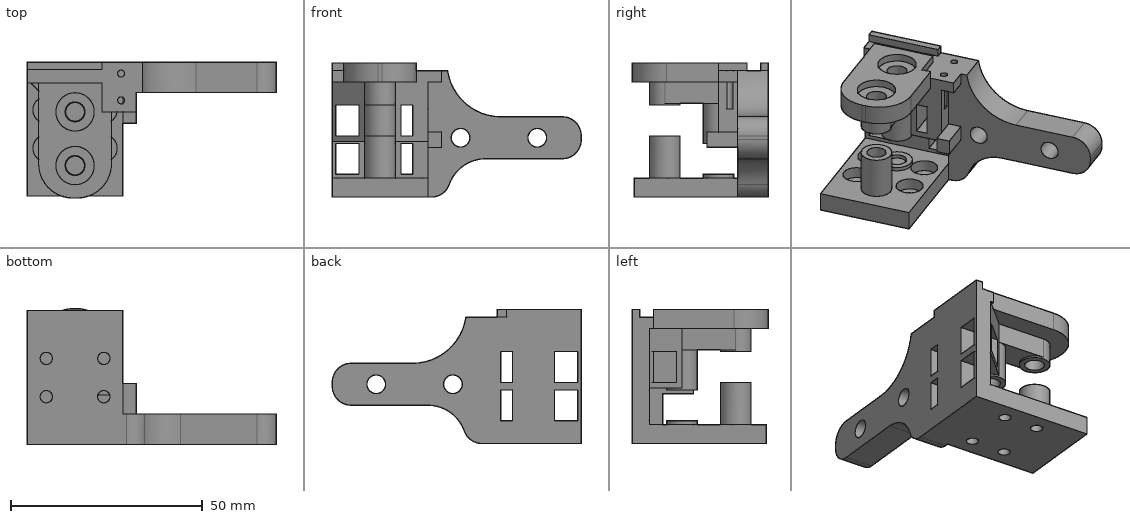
import cadquery as cq
import math


body_length = 25.0
base_depth = 35.0
base_height = 5.0

wall_depth = 4.5

block_bottom = 14.5
deck_bottom = 30.0
deck_top = 33.0
plate_top = 35.0

block_depth = 13.0
block_slant = block_depth - wall_depth

rail_depth = 2.0
rail_length = 19.5
ledge_depth = 5.5
plate_left = 3.0
plate_right = 22.0
plate_depth = 35.5
plate_corner_radius = 9.0

screw_x = (plate_left + plate_right) / 2
screw_depths = (13.0, 27.0)
boss_diameter = 8.0
boss_bottoms = (14.0, 24.0)
rib_bottom = 24.5
screw_diameter = 5.2
screw_head_diameter = 10.0
screw_head_depth = 2.0
post_tops = (6.0, 16.0)
post_bore_diameter = 4.9

mount_xs = (5.0, 20.0)
mount_depths = (12.5, 22.5)
mount_diameter = 3.2
mount_head_diameter = 7.0
mount_head_depth = 3.0

window_spans = ((1.0, 7.0), (18.0, 21.0))
window_bottoms = (6.0, 16.0)
window_height = 8.0

arm_depth = 8.0
arm_end = 65.0
arm_bottom = 10.0
arm_top = 21.0
arm_end_radius = 5.0
upper_curve_x = 44.0
upper_curve_radius = 14.0
lower_curve_x = 40.0
lower_curve_radius = arm_bottom
heel_radius = 5.0
arm_hole_xs = (33.5, 53.5)
arm_hole_diameter = 4.8

tab_right = 28.5
lower_tab_bottom = 13.0
lower_tab_top = 17.0
lower_tab_depth = 16.0
pin_x = 24.5
pin_depths = (3.0, 10.0)
pin_diameter = 1.8
pin_hole_length = 10.0


def box(x_span, depth_span, z_span):
    """Box between two X values, two depths from the back face and two heights."""
    size_x = x_span[1] - x_span[0]
    size_y = depth_span[1] - depth_span[0]
    size_z = z_span[1] - z_span[0]
    corner = (x_span[0], -depth_span[1], z_span[0])
    return cq.Workplane("XY").box(size_x, size_y, size_z, centered=False).translate(corner)


def cylinder(x, depth, diameter, z_span):
    """Upright cylinder between two heights."""
    plane = cq.Workplane("XY", origin=(x, -depth, z_span[0]))
    return plane.circle(diameter / 2).extrude(z_span[1] - z_span[0])


def make_base_and_wall():
    base = box((0, body_length), (0, base_depth), (0, base_height))
    wall = box((0, body_length), (0, wall_depth), (base_height, deck_top))
    return base.union(wall)


def make_guide_block():
    outline = [
        (0, -wall_depth),
        (block_slant, -block_depth),
        (body_length, -block_depth),
        (body_length, 0),
        (0, 0),
    ]
    plane = cq.Workplane("XY", origin=(0, 0, block_bottom))
    return plane.polyline(outline).close().extrude(deck_bottom - block_bottom)


def make_top():
    """Ledge, rail, notched screw plate and the deck filling its notch."""
    ledge = box((0, body_length), (0, ledge_depth), (deck_bottom, deck_top))
    rail = box((0, rail_length), (0, rail_depth), (deck_top, plate_top))
    deck = box((rail_length, body_length), (0, block_depth), (deck_bottom, deck_top))
    plate = box((plate_left, plate_right), (ledge_depth, plate_depth), (deck_bottom, plate_top))
    plate = plate.edges("|Z and <Y").fillet(plate_corner_radius)
    notch = box((rail_length, plate_right), (ledge_depth, block_depth), (deck_top, plate_top))
    return ledge.union(rail).union(deck).union(plate.cut(notch))


def make_bosses_and_posts():
    boss_radius = boss_diameter / 2
    rib_span = (screw_x - boss_radius, screw_x + boss_radius)
    columns = box(rib_span, screw_depths, (rib_bottom, deck_bottom))
    for depth, boss_bottom, post_top in zip(screw_depths, boss_bottoms, post_tops):
        boss = cylinder(screw_x, depth, boss_diameter, (boss_bottom, deck_bottom))
        post = cylinder(screw_x, depth, boss_diameter, (base_height, post_top))
        columns = columns.union(boss).union(post)
    return columns


def make_arm():
    upper_center_z = arm_top + upper_curve_radius
    upper_drop = upper_center_z - deck_top
    upper_start_x = upper_curve_x - math.sqrt(upper_curve_radius**2 - upper_drop**2)
    upper_start_angle = math.atan2(-upper_drop, upper_start_x - upper_curve_x)
    upper_mid_angle = (upper_start_angle - math.pi / 2) / 2
    upper_mid = (
        upper_curve_x + upper_curve_radius * math.cos(upper_mid_angle),
        upper_center_z + upper_curve_radius * math.sin(upper_mid_angle),
    )

    center_distance = lower_curve_radius + heel_radius
    heel_x = lower_curve_x - math.sqrt(center_distance**2 - heel_radius**2)
    join_angle = math.atan2(heel_radius, heel_x - lower_curve_x)
    join = (
        lower_curve_x + lower_curve_radius * math.cos(join_angle),
        lower_curve_radius * math.sin(join_angle),
    )
    lower_mid_angle = (join_angle + math.pi / 2) / 2
    lower_mid = (
        lower_curve_x + lower_curve_radius * math.cos(lower_mid_angle),
        lower_curve_radius * math.sin(lower_mid_angle),
    )
    heel_mid_angle = (join_angle - math.pi - math.pi / 2) / 2
    heel_mid = (
        heel_x + heel_radius * math.cos(heel_mid_angle),
        heel_radius + heel_radius * math.sin(heel_mid_angle),
    )

    arm = (
        cq.Workplane("XZ")
        .moveTo(body_length, deck_top)
        .lineTo(upper_start_x, deck_top)
        .threePointArc(upper_mid, (upper_curve_x, arm_top))
        .lineTo(arm_end, arm_top)
        .lineTo(arm_end, arm_bottom)
        .lineTo(lower_curve_x, arm_bottom)
        .threePointArc(lower_mid, join)
        .threePointArc(heel_mid, (heel_x, 0))
        .lineTo(body_length, 0)
        .close()
        .extrude(arm_depth)
    )
    arm = arm.edges("|Y and >X").fillet(arm_end_radius)
    hole_z = (arm_bottom + arm_top) / 2
    hole_points = [(x, hole_z) for x in arm_hole_xs]
    holes = cq.Workplane("XZ").pushPoints(hole_points).circle(arm_hole_diameter / 2).extrude(arm_depth)
    return arm.cut(holes)


def make_tabs():
    tab_span = (body_length, tab_right)
    upper_tab = box(tab_span, (0, block_depth), (deck_bottom, deck_top))
    lower_tab = box(tab_span, (0, lower_tab_depth), (lower_tab_bottom, lower_tab_top))
    return upper_tab.union(lower_tab)


def cut_windows(body):
    for x_span in window_spans:
        for bottom in window_bottoms:
            body = body.cut(box(x_span, (0, block_depth), (bottom, bottom + window_height)))
    return body


def cut_screw_holes(body):
    head_floor = plate_top - screw_head_depth
    for depth, boss_bottom, post_top in zip(screw_depths, boss_bottoms, post_tops):
        body = body.cut(cylinder(screw_x, depth, screw_diameter, (boss_bottom, plate_top)))
        body = body.cut(cylinder(screw_x, depth, screw_head_diameter, (head_floor, plate_top)))
        body = body.cut(cylinder(screw_x, depth, post_bore_diameter, (base_height, post_top)))
    return body


def cut_mount_holes(body):
    head_floor = base_height - mount_head_depth
    for x in mount_xs:
        for depth in mount_depths:
            body = body.cut(cylinder(x, depth, mount_diameter, (0, base_height)))
            body = body.cut(cylinder(x, depth, mount_head_diameter, (head_floor, base_height)))
    return body


def cut_pin_holes(body):
    for depth in pin_depths:
        body = body.cut(cylinder(pin_x, depth, pin_diameter, (deck_top - pin_hole_length, deck_top)))
    return body


result = make_base_and_wall().union(make_guide_block()).union(make_top())
result = cut_windows(result)
result = result.union(make_bosses_and_posts()).union(make_arm()).union(make_tabs())
result = cut_screw_holes(result)
result = cut_mount_holes(result)
result = cut_pin_holes(result)